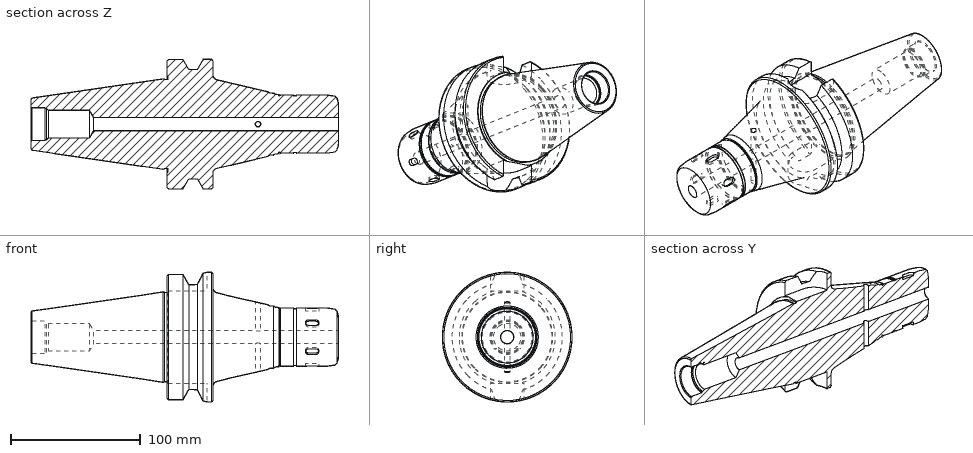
import cadquery as cq
import math

TOTAL_LENGTH = 236.8

SHANK_LENGTH = 101.8
SHANK_SLOPE = 7 / 24 / 2
SHANK_BIG_RADIUS = 34.93
SHANK_SMALL_RADIUS = SHANK_BIG_RADIUS - SHANK_LENGTH * SHANK_SLOPE
SHANK_TIP_CHAMFER_LENGTH = 0.7
SHANK_TIP_CHAMFER_HEIGHT = 1.0
RELIEF_CHAMFER_LENGTH = 1.2
RELIEF_START = SHANK_LENGTH + RELIEF_CHAMFER_LENGTH
RELIEF_RADIUS = 69.0 / 2

FLANGE_START = 104.7
FLANGE_END = 140.2
FLANGE_RADIUS = 100.0 / 2
FLANGE_CHAMFER = 1.2
FACE_RECESS_RADIUS = 37.0
FACE_RECESS_DEPTH = 0.7
GROOVE_RADIUS = 42.5
GROOVE_FLOOR_START = 121.5
GROOVE_FLOOR_END = 128.0
GROOVE_FLANK_ANGLE = 30
GROOVE_FLANK = (FLANGE_RADIUS - GROOVE_RADIUS) * math.tan(math.radians(GROOVE_FLANK_ANGLE))

DRIVE_SLOT_COUNT = 2
DRIVE_SLOT_WIDTH = 26.0
DRIVE_SLOT_FLOOR = 35.5
DRIVE_SLOT_END = 135.7

NOSE_START_RADIUS = 34.93
NOSE_END = 190.9
NOSE_END_RADIUS = 23.0
NOSE_FILLET = 3.8
RING_STARTS = (182.3, 186.5)
RING_FLANK = 1.5
RING_FLOOR = 0.7
RING_DEPTH = 0.5

NUT_GAP = 0.5
NUT_GAP_RADIUS = 21.8
NUT_RADIUS = 45 / 2
NUT_GROOVE_START = 202.2
NUT_GROOVE_END = 204.4
NUT_GROOVE_RADIUS = 44.0 / 2
NUT_TAPER_START = 227.8
NUT_TAPER_END = 232.8
NUT_TAPER_END_RADIUS = 21.8
NUT_ROUND_END = 235.0
NUT_ROUND_END_RADIUS = 20.5
NUT_TIP_CHAMFER = 0.7
CROWN_ROUNDING = 15.5
CROWN_END_RADIUS = 14.2

WRENCH_SLOT_COUNT = 6
WRENCH_SLOT_LENGTH = 10.2
WRENCH_SLOT_WIDTH = 5.0
WRENCH_SLOT_DEPTH = 2.4
WRENCH_SLOT_CENTRE = 216.5

MOUTH_RADIUS = 13.3
COUNTERBORE_RADIUS = 25.0 / 2
COUNTERBORE_DEPTH = 11.0
THREAD_MOUTH_RADIUS = 24.0 / 2
THREAD_MOUTH_LENGTH = 1.2
THREAD_RADIUS = 21.0 / 2
THREAD_DEPTH = 45.0
COOLANT_RADIUS = 10.0 / 2
DRILL_POINT_ANGLE = 118
CROSS_HOLE_DIAMETER = 4.0
CROSS_HOLE_X = 174.8


def nose_radius(x):
    """Radius of the conical nose at a place along the axis."""
    along = (x - FLANGE_END) / (NOSE_END - FLANGE_END)
    return NOSE_START_RADIUS + along * (NOSE_END_RADIUS - NOSE_START_RADIUS)


def turned_body():
    nose_slope = math.atan((NOSE_START_RADIUS - NOSE_END_RADIUS) / (NOSE_END - FLANGE_END))
    fillet_reach = NOSE_FILLET * math.tan(math.pi / 4 - nose_slope / 2)
    fillet_end = FLANGE_END + fillet_reach * math.cos(nose_slope)
    profile = (
        cq.Workplane("XY")
        .lineTo(0, SHANK_SMALL_RADIUS - SHANK_TIP_CHAMFER_HEIGHT)
        .lineTo(SHANK_TIP_CHAMFER_LENGTH, SHANK_SMALL_RADIUS + SHANK_TIP_CHAMFER_LENGTH * SHANK_SLOPE)
        .lineTo(SHANK_LENGTH, SHANK_BIG_RADIUS)
        .lineTo(RELIEF_START, RELIEF_RADIUS)
        .lineTo(FLANGE_START + FACE_RECESS_DEPTH, RELIEF_RADIUS)
        .lineTo(FLANGE_START + FACE_RECESS_DEPTH, FACE_RECESS_RADIUS)
        .lineTo(FLANGE_START, FACE_RECESS_RADIUS)
        .lineTo(FLANGE_START, FLANGE_RADIUS - FLANGE_CHAMFER)
        .lineTo(FLANGE_START + FLANGE_CHAMFER, FLANGE_RADIUS)
        .lineTo(GROOVE_FLOOR_START - GROOVE_FLANK, FLANGE_RADIUS)
        .lineTo(GROOVE_FLOOR_START, GROOVE_RADIUS)
        .lineTo(GROOVE_FLOOR_END, GROOVE_RADIUS)
        .lineTo(GROOVE_FLOOR_END + GROOVE_FLANK, FLANGE_RADIUS)
        .lineTo(FLANGE_END - FLANGE_CHAMFER, FLANGE_RADIUS)
        .lineTo(FLANGE_END, FLANGE_RADIUS - FLANGE_CHAMFER)
        .lineTo(FLANGE_END, NOSE_START_RADIUS + fillet_reach)
        .radiusArc((fillet_end, nose_radius(fillet_end)), -NOSE_FILLET)
    )
    nut_start = NOSE_END + NUT_GAP
    for start in RING_STARTS:
        floor_start = start + RING_FLANK
        floor_end = floor_start + RING_FLOOR
        profile = (
            profile.lineTo(start, nose_radius(start))
            .lineTo(floor_start, nose_radius(floor_start) - RING_DEPTH)
            .lineTo(floor_end, nose_radius(floor_end) - RING_DEPTH)
        )
    profile = (
        profile.lineTo(NOSE_END, NOSE_END_RADIUS)
        .lineTo(NOSE_END, NUT_GAP_RADIUS)
        .lineTo(nut_start, NUT_GAP_RADIUS)
        .lineTo(nut_start + NUT_RADIUS - NUT_GAP_RADIUS, NUT_RADIUS)
        .lineTo(NUT_GROOVE_START, NUT_RADIUS)
        .lineTo(NUT_GROOVE_START, NUT_GROOVE_RADIUS)
        .lineTo(NUT_GROOVE_END, NUT_GROOVE_RADIUS)
        .lineTo(NUT_GROOVE_END, NUT_RADIUS)
        .lineTo(NUT_TAPER_START, NUT_RADIUS)
        .lineTo(NUT_TAPER_END, NUT_TAPER_END_RADIUS)
        .radiusArc((NUT_ROUND_END, NUT_ROUND_END_RADIUS), NUT_ROUND_END - NUT_TAPER_END)
        .line(NUT_TIP_CHAMFER, -NUT_TIP_CHAMFER)
        .radiusArc((TOTAL_LENGTH, CROWN_END_RADIUS), CROWN_ROUNDING)
        .lineTo(TOTAL_LENGTH, 0)
        .close()
    )
    return profile.revolve(360, (0, 0, 0), (1, 0, 0))


def axial_bore():
    mouth_chamfer = MOUTH_RADIUS - COUNTERBORE_RADIUS
    thread_start = COUNTERBORE_DEPTH + THREAD_MOUTH_LENGTH
    thread_chamfer = THREAD_MOUTH_RADIUS - THREAD_RADIUS
    point_length = (THREAD_RADIUS - COOLANT_RADIUS) / math.tan(math.radians(DRILL_POINT_ANGLE / 2))
    return (
        cq.Workplane("XY")
        .lineTo(0, MOUTH_RADIUS)
        .lineTo(mouth_chamfer, COUNTERBORE_RADIUS)
        .lineTo(COUNTERBORE_DEPTH, COUNTERBORE_RADIUS)
        .lineTo(COUNTERBORE_DEPTH, THREAD_MOUTH_RADIUS)
        .lineTo(thread_start, THREAD_MOUTH_RADIUS)
        .lineTo(thread_start + thread_chamfer, THREAD_RADIUS)
        .lineTo(THREAD_DEPTH, THREAD_RADIUS)
        .lineTo(THREAD_DEPTH + point_length, COOLANT_RADIUS)
        .lineTo(TOTAL_LENGTH, COOLANT_RADIUS)
        .lineTo(TOTAL_LENGTH, 0)
        .close()
        .revolve(360, (0, 0, 0), (1, 0, 0))
    )


def drive_slot():
    """Cutter for the upper drive slot: open toward the shank, round at the other end."""
    half_width = DRIVE_SLOT_WIDTH / 2
    round_centre = DRIVE_SLOT_END - half_width
    return (
        cq.Workplane("XY", origin=(0, 0, DRIVE_SLOT_FLOOR))
        .moveTo(FLANGE_START, -half_width)
        .lineTo(round_centre, -half_width)
        .threePointArc((DRIVE_SLOT_END, 0), (round_centre, half_width))
        .lineTo(FLANGE_START, half_width)
        .close()
        .extrude(FLANGE_RADIUS)
    )


def wrench_slot():
    """Cutter for the wrench slot at the top of the nut."""
    return (
        cq.Workplane("XY", origin=(WRENCH_SLOT_CENTRE, 0, NUT_RADIUS - WRENCH_SLOT_DEPTH))
        .slot2D(WRENCH_SLOT_LENGTH, WRENCH_SLOT_WIDTH)
        .extrude(2 * WRENCH_SLOT_DEPTH)
    )


def cross_hole():
    return (
        cq.Workplane("XY", origin=(CROSS_HOLE_X, 0, -FLANGE_RADIUS))
        .circle(CROSS_HOLE_DIAMETER / 2)
        .extrude(2 * FLANGE_RADIUS)
    )


def cut_around(body, cutter, count):
    """Cut evenly spaced copies of a cutter around the X axis."""
    for index in range(count):
        body = body.cut(cutter.rotate((0, 0, 0), (1, 0, 0), index * 360 / count))
    return body


holder = turned_body().cut(axial_bore()).cut(cross_hole())
holder = cut_around(holder, drive_slot(), DRIVE_SLOT_COUNT)
holder = cut_around(holder, wrench_slot(), WRENCH_SLOT_COUNT)

result = holder